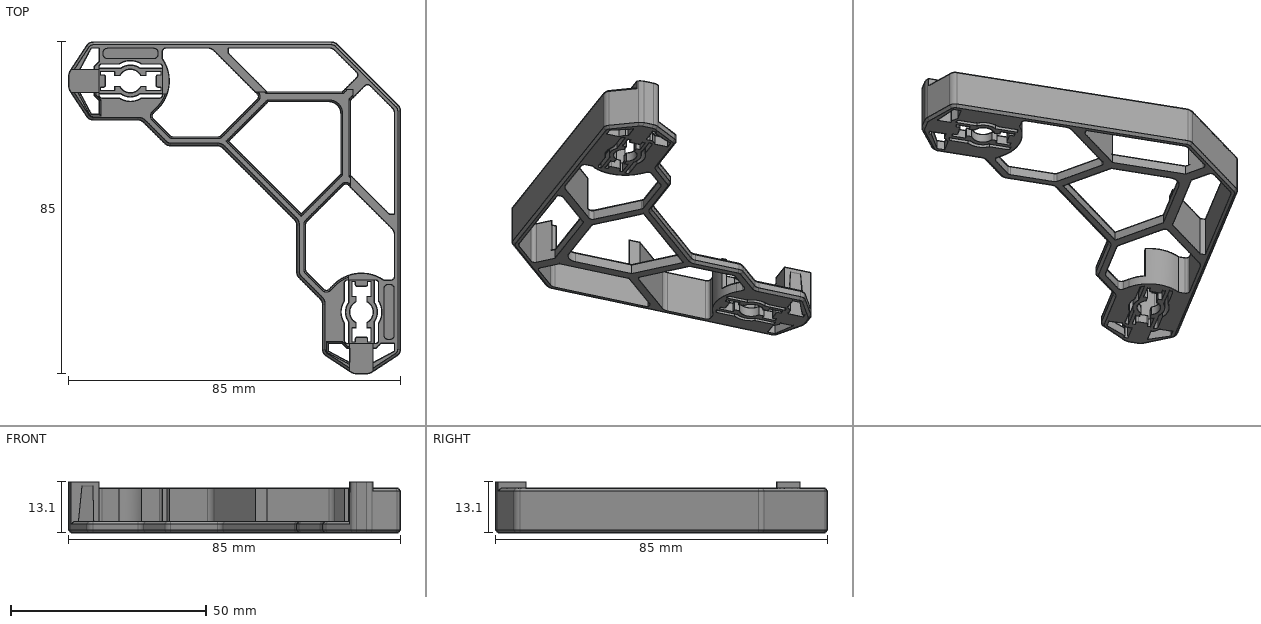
import cadquery as cq
import math


ARM_LENGTH = 85.0
ARM_WIDTH = 20.0
ARM_CENTRE = -ARM_WIDTH / 2
RIB_HEIGHT = 3.0
WALL_HEIGHT = 11.5
BLOCK_HEIGHT = 13.1
WALL = 1.55
EDGE_CHAMFER = 0.7
RIB_CHAMFER = 0.45
DIAGONAL = math.sqrt(2)

CORNER_CUT = 16.8
END_TAPER_LENGTH = 5.2
END_TAPER_DEPTH = 7.95
STEP_X = -66.4
SHOULDER_Y = -26.6
SHOULDER_END = -46.1
OUTLINE_FILLET = 2.0
END_FILLET = 2.5

OUTER_RIB_WIDTH = 2.3
STEP_RIB_WIDTH = 2.4
SQUARE_RIB_OUTER = -12.8
SQUARE_RIB_INNER = -15.3
SLANT_RIB_OUTER = -22.0
SLANT_RIB_INNER = -18.6
FIN_NEAR = -50.0
FIN_FAR = -47.0
FIN_FOOT_X = -44.1
CORNER_RIB_HALF = 2.1
CORNER_RIB_GAP = 0.6
SQUARE_FILLET = 3.0
WINDOW_FILLET = 1.0
BEVEL_FILLET = 2.0
FIN_ROOT_FILLET = 2.5

HOLE_X = -69.2
PAD_RADIUS = 10.0
PAD_EDGE_X = -61.0
BLOCK_INNER_X = -77.2
BLOCK_HALF = 3.0
RECESS_HALF = 4.35
RECESS_RADIUS = 5.2
RECESS_FILLET = 0.7
CLIP_HALF = 3.3
CLIP_RADIUS = 4.1
CLIP_HEIGHT = 2.5
HOLE_RADIUS = 3.0
THROAT_HALF = 1.37
THROAT_REACH = 4.05
KEYWAY_HALF = 2.4
TAB_HALF = 1.6
TAB_LENGTH = 1.6
TAB_FILLET = 0.5
KEYWAY_WALL = 0.4
POCKET_X = (-76.2, -62.1)
POCKET_Y = (-4.25, -1.6)
POCKET_FILLET = 1.1
END_WINDOW_X = BLOCK_INNER_X
END_WINDOW_NOTCH = 1.3
END_WINDOW_WEB = 0.7
END_WINDOW_EDGE_X = -79.2
END_WINDOW_BLOCK_X = -82.1
SCOOP_TOP = 12.0
SCOOP_DEPTH = 1.0
SCOOP_BOTTOM_X = (-82.8, -78.5)
SCOOP_TOP_X = (-81.6, -78.8)
BIG = 200.0


def swap(point):
    return (point[1], point[0])


def prism(points, bottom, top):
    return cq.Workplane("XY").workplane(offset=bottom).polyline(points).close().extrude(top - bottom)


def box(x_range, y_range, bottom, top):
    (x0, x1), (y0, y1) = x_range, y_range
    return prism([(x0, y0), (x1, y0), (x1, y1), (x0, y1)], bottom, top)


def cylinder(radius, height):
    """Upright cylinder on the axis of the arm hole."""
    return cq.Workplane("XY").center(HOLE_X, ARM_CENTRE).circle(radius).extrude(height)


def across(half):
    """Y range centred on the arm."""
    return (ARM_CENTRE - half, ARM_CENTRE + half)


def mirrored(shape):
    """Copy of an X-arm feature on the Y arm."""
    return shape.mirror(cq.Vector(1, -1, 0), (0, 0, 0))


def round_corner(shape, point, radius):
    """Round the upright edge of a window prism that stands on the given point."""
    return shape.edges("|Z").edges(cq.NearestToPointSelector((*point, BIG / 2))).fillet(radius)


def outline_prism(height):
    """Full outline of the frame, rounded at its corners and bevelled around the bottom."""
    taper_x = END_TAPER_LENGTH - ARM_LENGTH
    half = [
        (-CORNER_CUT, 0),
        (taper_x, 0),
        (-ARM_LENGTH, -END_TAPER_DEPTH),
        (-ARM_LENGTH, END_TAPER_DEPTH - ARM_WIDTH),
        (taper_x, -ARM_WIDTH),
        (STEP_X, -ARM_WIDTH),
        (STEP_X - ARM_WIDTH - SHOULDER_Y, SHOULDER_Y),
        (SHOULDER_END, SHOULDER_Y),
    ]
    body = prism(half + [swap(p) for p in reversed(half)], 0, height)
    body = body.edges("|Z").edges("not(<X or <Y)").fillet(OUTLINE_FILLET)
    body = body.edges("|Z").edges("<X or <Y").fillet(END_FILLET)
    return body.faces("<Z").chamfer(EDGE_CHAMFER)


def arm_window():
    """Opening between the pad, the outer wall, the fin and the low ribs."""
    rib_y = SHOULDER_Y + OUTER_RIB_WIDTH
    slant_sum = STEP_X - ARM_WIDTH + STEP_RIB_WIDTH * DIAGONAL
    tangent_diff = HOLE_X - ARM_CENTRE + PAD_RADIUS * DIAGONAL
    tangent = (HOLE_X + PAD_RADIUS / DIAGONAL, ARM_CENTRE - PAD_RADIUS / DIAGONAL)
    pad_y = ARM_CENTRE + math.sqrt(PAD_RADIUS**2 - (PAD_EDGE_X - HOLE_X) ** 2)
    fin_tip_x = (FIN_NEAR + SLANT_RIB_OUTER) / 2
    root = (FIN_NEAR + WALL, -WALL)
    pad_corner = (PAD_EDGE_X, -WALL)
    corners = [
        (fin_tip_x, FIN_NEAR - fin_tip_x),
        (SLANT_RIB_OUTER + rib_y, rib_y),
        (slant_sum - rib_y, rib_y),
        ((slant_sum + tangent_diff) / 2, (slant_sum - tangent_diff) / 2),
    ]
    window = (
        cq.Workplane("XY")
        .polyline([pad_corner, root] + corners + [tangent])
        .threePointArc((HOLE_X + PAD_RADIUS, ARM_CENTRE), (PAD_EDGE_X, pad_y))
        .close()
        .extrude(BIG)
    )
    window = round_corner(window, pad_corner, WINDOW_FILLET)
    for corner in corners:
        window = round_corner(window, corner, WINDOW_FILLET)
    return round_corner(window, root, FIN_ROOT_FILLET)


def outer_window():
    """Opening between the outer wall, the fin, the square rib and the corner rib."""
    bevel_sum = -CORNER_CUT - WALL * DIAGONAL
    corner_x = (bevel_sum - CORNER_RIB_HALF) / 2
    points = [
        (FIN_FOOT_X, -WALL),
        (bevel_sum + WALL, -WALL),
        (corner_x, bevel_sum - corner_x),
        (SQUARE_RIB_OUTER - CORNER_RIB_HALF, SQUARE_RIB_OUTER),
        (FIN_FAR - SQUARE_RIB_OUTER, SQUARE_RIB_OUTER),
        (FIN_FOOT_X, FIN_FAR - FIN_FOOT_X),
    ]
    window = prism(points, 0, BIG)
    window = round_corner(window, points[1], BEVEL_FILLET)
    return round_corner(window, points[2], WINDOW_FILLET)


def middle_window():
    """Five-sided opening in the middle, symmetric about X = Y."""
    base_sum = SHOULDER_END + SHOULDER_Y + OUTER_RIB_WIDTH * DIAGONAL
    side = (SLANT_RIB_INNER + SQUARE_RIB_INNER, SQUARE_RIB_INNER)
    base = ((base_sum + SLANT_RIB_INNER) / 2, (base_sum - SLANT_RIB_INNER) / 2)
    corner = (SQUARE_RIB_INNER, SQUARE_RIB_INNER)
    window = prism([base, side, corner, swap(side), swap(base)], 0, BIG)
    return round_corner(window, corner, SQUARE_FILLET)


def end_window(side):
    """Opening beside the block; side is +1 toward the outer wall, -1 away from it."""
    edge = ARM_WIDTH / 2 - WALL
    notch_x = END_WINDOW_X - END_WINDOW_NOTCH
    notch = BLOCK_HALF + END_WINDOW_WEB
    points = [
        (END_WINDOW_X, edge),
        (END_WINDOW_EDGE_X, edge),
        (END_WINDOW_BLOCK_X, BLOCK_HALF),
        (notch_x, BLOCK_HALF),
        (notch_x, notch),
        (END_WINDOW_X, notch + END_WINDOW_NOTCH),
    ]
    return prism([(x, ARM_CENTRE + side * y) for x, y in points], 0, BIG)


def low_plate(windows):
    """Base layer of ribs with bevelled top edges."""
    plate = outline_prism(RIB_HEIGHT).faces(">Z").chamfer(EDGE_CHAMFER)
    for window in windows:
        plate = plate.cut(window)
    inner = plate.faces(">Z").val().innerWires()
    edges = [edge for wire in inner for edge in wire.Edges()]
    return plate.newObject(edges).chamfer(RIB_CHAMFER)


def tall_walls(windows):
    """Outer wall, fins, corner rib and the pads around the arm holes."""
    lower_edge = [
        (-BIG, ARM_CENTRE + BLOCK_HALF),
        (PAD_EDGE_X, ARM_CENTRE + BLOCK_HALF),
        (PAD_EDGE_X, ARM_CENTRE - CLIP_HALF),
        (HOLE_X + PAD_RADIUS + WALL, ARM_CENTRE - CLIP_HALF),
        (HOLE_X + PAD_RADIUS + WALL, SQUARE_RIB_OUTER),
        (SQUARE_RIB_OUTER, SQUARE_RIB_OUTER),
    ]
    mirrored_edge = [swap(p) for p in reversed(lower_edge[:-1])]
    region = prism(lower_edge + mirrored_edge + [(BIG, BIG)], 0, BIG)
    tip = (SQUARE_RIB_INNER, SQUARE_RIB_OUTER + CORNER_RIB_GAP)
    region = region.cut(box(tip, tip, 0, BIG))
    walls = outline_prism(WALL_HEIGHT).faces(">Z").chamfer(EDGE_CHAMFER).intersect(region)
    for window in windows:
        walls = walls.cut(window)
    return walls


def block():
    """Tall block at the tip of the arm."""
    zone = box((-BIG, BLOCK_INNER_X), across(BLOCK_HALF), 0, BLOCK_HEIGHT)
    return outline_prism(BLOCK_HEIGHT).intersect(zone)


def recess():
    """Opening that frees the clip from the pad."""
    slot = box((BLOCK_INNER_X, PAD_EDGE_X), across(RECESS_HALF), 0, BIG).edges("|Z").fillet(RECESS_FILLET)
    return slot.union(cylinder(RECESS_RADIUS, BIG))


def clip():
    """Low plate with the hole, its keyway and two tabs."""
    plate = box((BLOCK_INNER_X, PAD_EDGE_X), across(CLIP_HALF), 0, CLIP_HEIGHT)
    plate = plate.union(cylinder(CLIP_RADIUS, CLIP_HEIGHT)).cut(cylinder(HOLE_RADIUS, CLIP_HEIGHT))

    left, right = HOLE_X - THROAT_REACH, HOLE_X + THROAT_REACH
    slots = [
        ((left, right), THROAT_HALF),
        ((BLOCK_INNER_X + KEYWAY_WALL, left), KEYWAY_HALF),
        ((right, PAD_EDGE_X - KEYWAY_WALL), KEYWAY_HALF),
    ]
    for x_range, half in slots:
        plate = plate.cut(box(x_range, across(half), 0, CLIP_HEIGHT))

    tabs = [
        ((BLOCK_INNER_X, BLOCK_INNER_X + TAB_LENGTH), ">X"),
        ((PAD_EDGE_X - TAB_LENGTH, PAD_EDGE_X), "<X"),
    ]
    for x_range, free_end in tabs:
        tab = box(x_range, across(TAB_HALF), 0, CLIP_HEIGHT)
        plate = plate.union(tab.edges("|Z").edges(free_end).fillet(TAB_FILLET))
    return plate


def pocket():
    """Long blind pocket in the top of the pad."""
    return box(POCKET_X, POCKET_Y, RIB_HEIGHT, BIG).edges("|Z").fillet(POCKET_FILLET)


def scoop():
    """Tapered hollow in the inner side of the block, deepest at the bottom."""
    y = ARM_CENTRE - BLOCK_HALF
    (bottom_left, bottom_right), (top_left, top_right) = SCOOP_BOTTOM_X, SCOOP_TOP_X
    front_profile = [(bottom_left, 0), (bottom_right, 0), (top_right, SCOOP_TOP), (top_left, SCOOP_TOP)]
    front = cq.Workplane("XZ", origin=(0, y, 0)).polyline(front_profile).close().extrude(-SCOOP_DEPTH)
    side_profile = [(y, 0), (y + SCOOP_DEPTH, 0), (y, SCOOP_TOP)]
    side = cq.Workplane("YZ").polyline(side_profile).close().extrude(-ARM_LENGTH)
    return front.intersect(side)


def both(shape):
    """The feature on the X arm together with its copy on the Y arm."""
    return [shape, mirrored(shape)]


windows = both(arm_window()) + both(outer_window()) + [middle_window()]
windows += both(end_window(1)) + both(end_window(-1))

result = low_plate(windows).union(tall_walls(windows))
for solid in both(block()):
    result = result.union(solid)
for opening in both(recess()) + both(pocket()) + both(scoop()):
    result = result.cut(opening)
for solid in both(clip()):
    result = result.union(solid)